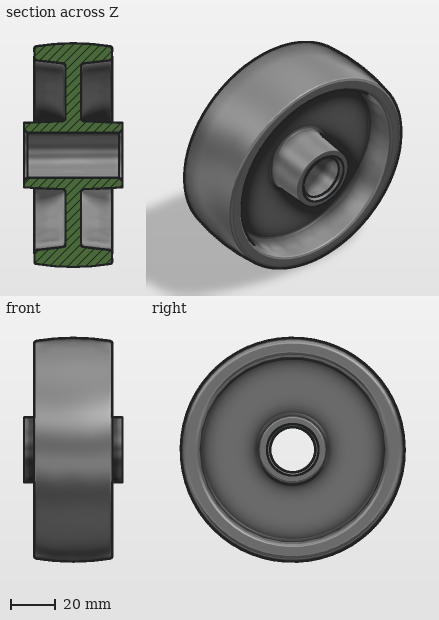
import cadquery as cq
import math

wheel_radius = 50.0
rim_width = 35.0
crown_radius = 100.0
rim_edge_fillet = 1.5
pocket_mouth_radius = 42.4
pocket_floor_radius = 40.8
pocket_mouth_fillet = 1.5
pocket_floor_fillet = 1.2
web_thickness = 7.0
hub_length = 44.0
hub_end_radius = 14.5
hub_root_radius = 15.3
hub_end_fillet = 0.5
hub_root_fillet = 1.5
bore_radius = 10.0
bore_chamfer = 1.5

half_rim = rim_width / 2
half_web = web_thickness / 2
half_hub = hub_length / 2
tread_edge_radius = wheel_radius - crown_radius + math.sqrt(crown_radius**2 - half_rim**2)


def ring_edges(position, radius):
    """Select the circular edges of a given radius at +/- position along X."""
    tolerance = 0.01
    selector = None
    for side in (-1, 1):
        x = side * position
        outer = cq.selectors.BoxSelector(
            (x - tolerance, -radius - tolerance, -radius - tolerance),
            (x + tolerance, radius + tolerance, radius + tolerance),
            boundingbox=True,
        )
        inner = cq.selectors.BoxSelector(
            (x - tolerance, -radius + tolerance, -radius + tolerance),
            (x + tolerance, radius - tolerance, radius - tolerance),
            boundingbox=True,
        )
        ring = outer - inner
        selector = ring if selector is None else selector + ring
    return selector


def wheel_body():
    """Revolve the axial half-section: crowned rim, drafted pockets, web and hub."""
    section = (
        cq.Workplane("XY")
        .moveTo(-half_hub, bore_radius)
        .lineTo(-half_hub, hub_end_radius)
        .lineTo(-half_web, hub_root_radius)
        .lineTo(-half_web, pocket_floor_radius)
        .lineTo(-half_rim, pocket_mouth_radius)
        .lineTo(-half_rim, tread_edge_radius)
        .threePointArc((0, wheel_radius), (half_rim, tread_edge_radius))
        .lineTo(half_rim, pocket_mouth_radius)
        .lineTo(half_web, pocket_floor_radius)
        .lineTo(half_web, hub_root_radius)
        .lineTo(half_hub, hub_end_radius)
        .lineTo(half_hub, bore_radius)
        .close()
    )
    return section.revolve(360, (0, 0, 0), (1, 0, 0))


rounded_edges = [
    (half_rim, tread_edge_radius, rim_edge_fillet),
    (half_rim, pocket_mouth_radius, pocket_mouth_fillet),
    (half_web, pocket_floor_radius, pocket_floor_fillet),
    (half_web, hub_root_radius, hub_root_fillet),
    (half_hub, hub_end_radius, hub_end_fillet),
]

result = wheel_body()
for position, radius, fillet in rounded_edges:
    result = result.edges(ring_edges(position, radius)).fillet(fillet)

result = result.edges(ring_edges(half_hub, bore_radius)).chamfer(bore_chamfer)